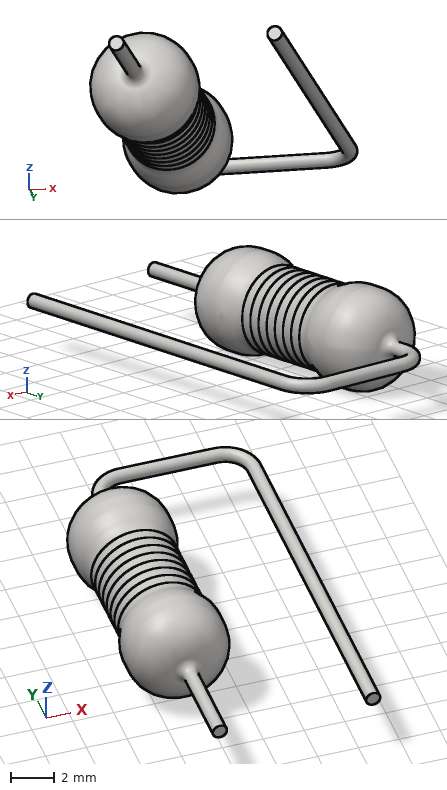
import cadquery as cq
import math


lead_radius = 0.7 / 2
lead_spacing = 7.5
bend_radius = 1.43
total_length = 19.35
lead_tip_y = -10.58
bridge_y = lead_tip_y + total_length - lead_radius

body_length = 12.0
cap_radius = 5.0 / 2
waist_radius = 4.25 / 2
band_radius = 4.28 / 2
dome_radius = 1.8
collar_length = 0.75
flare_length = 1.45
neck_fillet = 0.46
band_count = 4

half_body = body_length / 2
dome_base_y = half_body - dome_radius
flare_outer_y = dome_base_y - collar_length
flare_inner_y = flare_outer_y - flare_length
band_slots = 2 * band_count - 1
band_width = 2 * flare_inner_y / band_slots

dome_center_x = cap_radius - dome_radius

neck_center_x = lead_radius + neck_fillet
center_distance = dome_radius + neck_fillet
neck_y = dome_base_y + math.sqrt(center_distance**2 - (neck_center_x - dome_center_x) ** 2)

flare_drop = cap_radius - waist_radius
flare_radius = (flare_length**2 + flare_drop**2) / (4 * flare_drop)


def arc_point(center, radius, angle):
    return (center[0] + radius * math.cos(angle), center[1] + radius * math.sin(angle))


def make_end_cap():
    """The flare, collar, dome and neck at the +Y end, revolved about the Y axis."""
    dome_center = (dome_center_x, dome_base_y)
    neck_center = (neck_center_x, neck_y)
    touch_angle = math.atan2(neck_y - dome_base_y, neck_center_x - dome_center_x)
    neck_start_angle = touch_angle + math.pi

    outer_center = (cap_radius - flare_radius, flare_outer_y)
    inner_center = (waist_radius + flare_radius, flare_inner_y)
    flare_angle = math.asin(flare_length / 2 / flare_radius)
    flare_middle = ((waist_radius + cap_radius) / 2, (flare_inner_y + flare_outer_y) / 2)

    return (
        cq.Workplane("XY")
        .moveTo(0, flare_inner_y)
        .lineTo(waist_radius, flare_inner_y)
        .threePointArc(arc_point(inner_center, flare_radius, math.pi - flare_angle / 2), flare_middle)
        .threePointArc(arc_point(outer_center, flare_radius, -flare_angle / 2), (cap_radius, flare_outer_y))
        .lineTo(cap_radius, dome_base_y)
        .threePointArc(
            arc_point(dome_center, dome_radius, touch_angle / 2),
            arc_point(dome_center, dome_radius, touch_angle),
        )
        .threePointArc(
            arc_point(neck_center, neck_fillet, (neck_start_angle + math.pi) / 2),
            (lead_radius, neck_y),
        )
        .lineTo(0, neck_y)
        .close()
        .revolve(360, (0, 0, 0), (0, 1, 0))
    )


def make_waist():
    return cq.Workplane("XZ").circle(waist_radius).extrude(flare_inner_y, both=True)


def make_band(start_y):
    """A slightly raised colour band around the waist."""
    return cq.Workplane("XZ", origin=(0, start_y, 0)).circle(band_radius).extrude(-band_width)


def make_straight_lead():
    return cq.Workplane("XZ", origin=(0, lead_tip_y, 0)).circle(lead_radius).extrude(lead_tip_y + neck_y)


def make_bent_lead():
    """The lead that leaves the +Y end, crosses over in X and returns toward -Y."""
    bend_y = bridge_y - bend_radius
    path = (
        cq.Workplane("XY")
        .moveTo(0, neck_y)
        .lineTo(0, bend_y)
        .tangentArcPoint((bend_radius, bridge_y), relative=False)
        .lineTo(lead_spacing - bend_radius, bridge_y)
        .tangentArcPoint((lead_spacing, bend_y), relative=False)
        .lineTo(lead_spacing, lead_tip_y)
    )
    return cq.Workplane("XZ", origin=(0, neck_y, 0)).circle(lead_radius).sweep(path)


end_cap = make_end_cap()
result = make_waist().union(end_cap).union(end_cap.mirror("XZ"))
for slot in range(0, band_slots, 2):
    result = result.union(make_band(-flare_inner_y + slot * band_width))
result = result.union(make_straight_lead()).union(make_bent_lead())